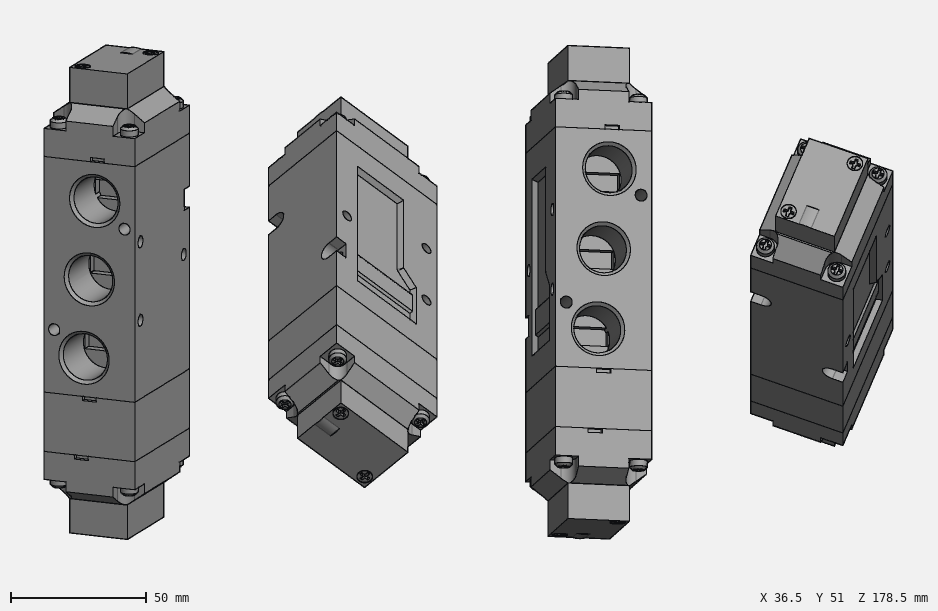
import cadquery as cq
import math


total_height = 178.5
width = 36.5
depth = 51.0
body_height = 90.0
spacer_height = 22.7
half_width = width / 2
half_depth = depth / 2
body_top = body_height / 2
body_bottom = -body_height / 2

port_pitch = 30.2
port_stagger = 2.1
port_diameter = 17.7
port_mouth_diameter = 20.2
port_depth = 20.0
port_mouth_depth = (port_mouth_diameter - port_diameter) / 2
passage_width = 16.5
passage_height = 7.0
passage_depth = 3.5
passage_pitch = 29.1
hole_diameter = 4.5
front_hole_x = 14.1
front_hole_z = 20.7
side_hole_y = 20.2
side_hole_z = 15.0
nut_slot_width = 8.0
nut_slot_depth = 4.8

recess_half_height = 33.2
recess_y_max = 14.8
recess_y_upper_min = -8.5
recess_y_lower_min = -15.0
recess_slope_top = -6.0
recess_slope_bottom = -12.1
recess_depth = 2.1
recess_wall_inset = 1.2
recess_draft = math.degrees(math.atan2(recess_wall_inset, recess_depth))
pad_rise = 0.9
pad_top = -15.0
pad_bottom = -26.2

cap_straight_height = 14.5
cap_height = 19.3
cap_top_width = 23.2
cap_top_depth = 35.3
seat_height = 10.7
seat_width = 8.7
seat_length = 9.1
seat_corner_radius = 4.6
screw_x = half_width - seat_width + seat_corner_radius
screw_y = half_depth - seat_length + seat_corner_radius
screw_head_diameter = 6.6
screw_head_height = 3.4
screw_head_chamfer = 1.0
screw_cross_length = 4.0
screw_cross_width = 1.0
screw_cross_depth = 1.5

notch_width = 5.4
notch_height = 1.6
notch_depth = 1.8
notch_stagger = 3.2

pilot_width = cap_top_width
pilot_depth = 34.1
ridge_rise = 0.4
ridge_width = 4.8
ridge_length = 8.0
ridge_radius = (ridge_width**2 / 4 + ridge_rise**2) / (2 * ridge_rise)
pilot_height = (total_height - body_height - spacer_height) / 2 - cap_height - ridge_rise
pilot_screw_x = 7.9
pilot_screw_y = 13.5
pilot_screw_diameter = 5.7
pilot_screw_sink = 0.4


def block(size_x, size_y, z_bottom, height):
    """Upright box centred on the Z axis."""
    base = cq.Workplane("XY", origin=(0, 0, z_bottom))
    return base.box(size_x, size_y, height, centered=(True, True, False))


def cylinder_along_y(x, z, diameter, y_start, length):
    """Cylinder that starts at y_start and runs toward +Y."""
    base = cq.Vector(x, y_start, z)
    return cq.Workplane(cq.Solid.makeCylinder(diameter / 2, length, base, cq.Vector(0, 1, 0)))


def screw_cross(x, y, z_top):
    """Cross-shaped driver recess below z_top."""
    bar = block(screw_cross_length, screw_cross_width, z_top - screw_cross_depth, screw_cross_depth)
    cross = bar.union(bar.rotate((0, 0, 0), (0, 0, 1), 90))
    return cross.translate((x, y, 0))


def joint_notch(x, z_bottom):
    """Shallow notch in the -Y face at a joint."""
    notch = block(notch_width, notch_depth, z_bottom, notch_height)
    return notch.translate((x, -half_depth + notch_depth / 2, 0))


def port(x, z, passage_z):
    """Chamfered port bore with a passage slot in its floor."""
    bore = cylinder_along_y(x, z, port_diameter, -half_depth, port_depth)
    mouth = cq.Workplane(
        cq.Solid.makeCone(
            port_mouth_diameter / 2,
            port_diameter / 2,
            port_mouth_depth,
            cq.Vector(x, -half_depth, z),
            cq.Vector(0, 1, 0),
        )
    )
    floor_y = -half_depth + port_depth
    slot = cq.Workplane("XY").box(passage_width, passage_depth, passage_height)
    slot = slot.translate((x, floor_y + passage_depth / 2, passage_z))
    passage = slot.intersect(cylinder_along_y(x, z, port_diameter, floor_y, passage_depth))
    return bore.union(mouth).union(passage)


def nut_slot(side):
    """Round-ended slot at the +Y end of a mounting hole, open to the nearer X side."""
    x = side * front_hole_x
    z = side * front_hole_z
    floor_y = half_depth - nut_slot_depth
    run_out = half_width - front_hole_x
    round_end = cylinder_along_y(x, z, nut_slot_width, floor_y, nut_slot_depth)
    opening = cq.Workplane("XY").box(run_out, nut_slot_depth, nut_slot_width)
    opening = opening.translate((side * (front_hole_x + run_out / 2), floor_y + nut_slot_depth / 2, z))
    return round_end.union(opening)


def label_recess():
    """Drafted recess in the -X face around a raised pad with bevelled long edges."""
    outline = [
        (recess_y_max, recess_half_height),
        (recess_y_max, -recess_half_height),
        (recess_y_lower_min, -recess_half_height),
        (recess_y_lower_min, recess_slope_bottom),
        (recess_y_upper_min, recess_slope_top),
        (recess_y_upper_min, recess_half_height),
    ]
    recess = cq.Workplane("YZ", origin=(-half_width, 0, 0)).polyline(outline).close()
    recess = recess.extrude(recess_depth, taper=recess_draft)
    floor_x = -half_width + recess_depth
    pad_profile = [
        (floor_x, pad_top),
        (floor_x - pad_rise, pad_top - pad_rise),
        (floor_x - pad_rise, pad_bottom + pad_rise),
        (floor_x, pad_bottom),
    ]
    pad = cq.Workplane("XZ").polyline(pad_profile).close().extrude(half_depth, both=True)
    return recess.cut(pad)


def make_valve_body():
    body = block(width, depth, body_bottom, body_height)
    for row in (-1, 0, 1):
        body = body.cut(port(row * port_stagger, row * port_pitch, row * passage_pitch))
    for side in (-1, 1):
        x = side * front_hole_x
        z = side * front_hole_z
        body = body.cut(cylinder_along_y(x, z, hole_diameter, -half_depth, depth))
        body = body.cut(nut_slot(side))
    side_holes = [(-side_hole_y, side_hole_z), (-side_hole_y, -side_hole_z), (side_hole_y, 0)]
    drills = cq.Workplane("YZ").pushPoints(side_holes).circle(hole_diameter / 2)
    drills = drills.extrude(half_width, both=True)
    return body.cut(drills).cut(label_recess())


def make_spacer():
    spacer = block(width, depth, body_bottom - spacer_height, spacer_height)
    return spacer.cut(joint_notch(0, body_bottom - notch_height))


def corner_seat(sign_x, sign_y):
    """Square corner cut with a rounded inner edge, floored at the screw seat."""
    cut_height = cap_height - seat_height
    seat = cq.Workplane("XY").box(seat_width, seat_length, cut_height, centered=(True, True, False))
    inner_edge = cq.selectors.NearestToPointSelector(
        (-sign_x * seat_width / 2, -sign_y * seat_length / 2, cut_height / 2)
    )
    seat = seat.edges("|Z").edges(inner_edge).fillet(seat_corner_radius)
    center_x = sign_x * (half_width - seat_width / 2)
    center_y = sign_y * (half_depth - seat_length / 2)
    return seat.translate((center_x, center_y, seat_height))


def screw_head(x, y):
    """Chamfered screw head standing on its seat."""
    head = cq.Workplane("XY").circle(screw_head_diameter / 2).extrude(screw_head_height)
    head = head.faces(">Z").chamfer(screw_head_chamfer)
    head = head.translate((x, y, seat_height))
    return head.cut(screw_cross(x, y, seat_height + screw_head_height))


def make_cap():
    """End cap with its joint face at z = 0, tapering upward."""
    cap = block(width, depth, 0, cap_straight_height)
    taper = (
        cq.Workplane("XY", origin=(0, 0, cap_straight_height))
        .rect(width, depth)
        .workplane(offset=cap_height - cap_straight_height)
        .rect(cap_top_width, cap_top_depth)
        .loft(ruled=True)
    )
    cap = cap.union(taper)
    for sign_x in (-1, 1):
        for sign_y in (-1, 1):
            cap = cap.cut(corner_seat(sign_x, sign_y))
            cap = cap.union(screw_head(sign_x * screw_x, sign_y * screw_y))
    return cap.cut(joint_notch(notch_stagger, 0))


def make_pilot():
    """Pilot block on top of a cap whose joint face is at z = 0."""
    top = cap_height + pilot_height
    pilot = block(pilot_width, pilot_depth, cap_height, pilot_height)
    ridge = (
        cq.Workplane("XZ", origin=(0, pilot_depth / 2, top))
        .moveTo(-ridge_width / 2, 0)
        .radiusArc((ridge_width / 2, 0), ridge_radius)
        .close()
        .extrude(ridge_length)
    )
    pilot = pilot.union(ridge)
    for side in (-1, 1):
        x = side * pilot_screw_x
        y = side * pilot_screw_y
        sink_floor = top - pilot_screw_sink
        sink = cq.Workplane("XY", origin=(x, y, sink_floor)).circle(pilot_screw_diameter / 2)
        sink = sink.extrude(pilot_screw_sink)
        pilot = pilot.cut(sink).cut(screw_cross(x, y, sink_floor))
    return pilot


def place_on_ends(end_part):
    """Return the upper copy and the lower copy, which is turned half a turn about Y."""
    upper = end_part.translate((0, 0, body_top))
    lower = end_part.rotate((0, 0, 0), (0, 1, 0), 180).translate((0, 0, body_bottom - spacer_height))
    return [upper.val(), lower.val()]


valve_body = make_valve_body()
spacer = make_spacer()
caps = place_on_ends(make_cap())
pilots = place_on_ends(make_pilot())

result = cq.Compound.makeCompound([valve_body.val(), spacer.val(), *caps, *pilots])